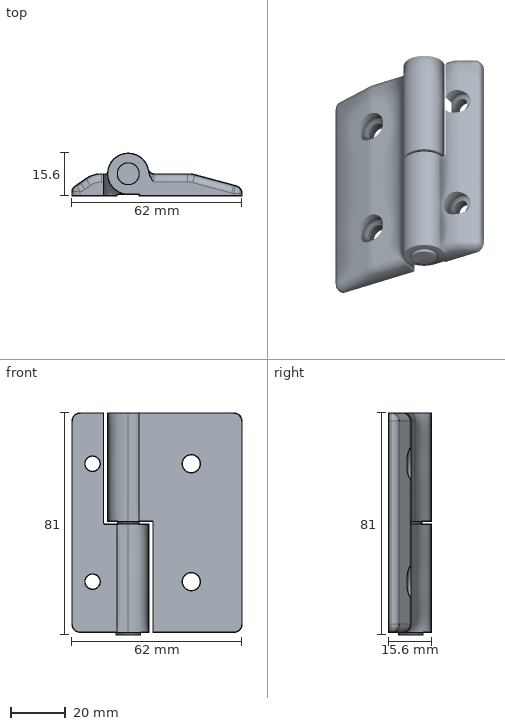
import cadquery as cq
import math


hinge_width = 62.0
leaf_height = 80.0
corner_radius = 3.0
end_edge_radius = 3.0

knuckle_radius = 7.5
knuckle_lift = 0.6
axis_x = 20.5
axis_y = knuckle_radius + knuckle_lift
pin_radius = 4.0
pin_head_radius = 4.5
pin_head_height = 1.0
relief_half_width = pin_radius
knuckle_gap = 1.0
side_clearance = 1.5
upper_knuckle_bottom = (leaf_height + knuckle_gap) / 2
lower_knuckle_top = (leaf_height - knuckle_gap) / 2

plate_thickness = axis_y

left_slope = math.radians(35)
left_flat_start = 10.8
left_crown_radius = 10.0
left_side_radius = 2.0
left_plate_end = axis_x - knuckle_radius - side_clearance
left_knuckle_blend = 0.5
notch_corner_radius = 0.5

right_slope = math.radians(15)
right_flat_end = 42.2
right_crown_radius = 10.0
right_side_radius = 3.0
right_plate_start = axis_x + knuckle_radius + side_clearance
right_knuckle_blend = 2.0
right_web_end = right_plate_start + right_knuckle_blend

screw_hole_spacing = 43.0
screw_hole_heights = [leaf_height / 2 + side * screw_hole_spacing / 2 for side in (-1, 1)]
left_hole_x = 7.5
left_hole_diameter = 5.5
left_counterbore_diameter = 9.5
right_hole_x = 43.5
right_hole_diameter = 6.5
right_counterbore_diameter = 11.0
counterbore_floor = 3.8


def bar(outline, bottom, top):
    """Extrude an XY outline along Z between two heights."""
    return outline.extrude(top - bottom).translate((0, 0, bottom))


def block(x_range, y_range, z_range):
    """Box between two limits along each axis."""
    lows, highs = zip(x_range, y_range, z_range)
    sizes = [high - low for low, high in zip(lows, highs)]
    return cq.Workplane("XY").box(*sizes, centered=False).translate(lows)


def cylinder(radius, bottom, top):
    """Cylinder on the pin axis between two heights."""
    return bar(cq.Workplane("XY").center(axis_x, axis_y).circle(radius), bottom, top)


def round_back(body, side_edge, side_radius):
    """Round the chain of back edges along the outer side and both ends.

    The elliptical edges at the corners get no radius of their own, so theirs runs from one size to the other.
    """
    rounding = cq.occ_impl.shapes.BRepFilletAPI_MakeFillet(body.val().wrapped)
    rounding.Add(side_edge.wrapped)
    chain = rounding.Contour(side_edge.wrapped)
    for number in range(1, rounding.NbEdges(chain) + 1):
        edge = cq.Edge(rounding.Edge(chain, number))
        if edge.isSame(side_edge):
            rounding.SetRadius(side_radius, chain, number)
        elif edge.geomType() != "ELLIPSE":
            rounding.SetRadius(end_edge_radius, chain, number)
    return cq.Workplane(cq.Shape.cast(rounding.Shape()))


def plate(outer_x, inner_x, flat_x, slope, crown_radius, side_radius):
    """Full-height plate whose back slopes down to the outer edge, with rounded outer corners and ends."""
    inward = math.copysign(1, inner_x - outer_x)
    crown_x = flat_x - inward * crown_radius * math.sin(slope)
    crown_y = plate_thickness - crown_radius * (1 - math.cos(slope))
    mid_x = flat_x - inward * crown_radius * math.sin(slope / 2)
    mid_y = plate_thickness - crown_radius * (1 - math.cos(slope / 2))
    edge_y = crown_y - abs(crown_x - outer_x) * math.tan(slope)
    outline = (
        cq.Workplane("XY")
        .moveTo(outer_x, 0)
        .lineTo(outer_x, edge_y)
        .lineTo(crown_x, crown_y)
        .threePointArc((mid_x, mid_y), (flat_x, plate_thickness))
        .lineTo(inner_x, plate_thickness)
        .lineTo(inner_x, 0)
        .close()
    )
    body = bar(outline, 0, leaf_height)
    outer_side = "<X" if inward > 0 else ">X"
    body = body.faces(outer_side).edges("|Y").fillet(corner_radius)
    side_edge = body.faces(outer_side).edges(">Y").val()
    return round_back(body, side_edge, side_radius)


def knuckle(web_end, relief_x, blend_radius, bottom, top):
    """Bored barrel and the web joining it to a plate, blended on the back and relieved at the front."""
    reach = 4 * knuckle_radius
    slab = block((axis_x - reach, axis_x + reach), (-reach, plate_thickness), (0, leaf_height))
    slab = slab.faces(">Y").edges("|X").fillet(end_edge_radius)
    stock = slab.union(cylinder(knuckle_radius, -reach, leaf_height + reach))
    corners = cq.selectors.BoxSelector(
        (axis_x - knuckle_radius - side_clearance, 0, 0),
        (axis_x + knuckle_radius + side_clearance, axis_y + knuckle_radius, leaf_height),
    )
    stock = stock.edges("|Z").edges(corners).fillet(blend_radius)

    web_x = sorted((axis_x, web_end))
    web = block(web_x, (0, axis_y + knuckle_radius), (bottom, top)).intersect(stock)
    relief = block(relief_x, (0, knuckle_lift), (bottom, top))
    bore = cylinder(pin_radius, bottom, top)
    return web.union(cylinder(knuckle_radius, bottom, top)).cut(relief).cut(bore)


def drill_screw_holes(body, hole_x, hole_diameter, counterbore_diameter):
    """Two through holes along Y, counterbored from the back."""
    for hole_z in screw_hole_heights:
        front = cq.Workplane("XZ", origin=(hole_x, 0, hole_z))
        hole = front.circle(hole_diameter / 2).extrude(-plate_thickness)
        counterbore = (
            front.workplane(offset=-counterbore_floor)
            .circle(counterbore_diameter / 2)
            .extrude(-plate_thickness)
        )
        body = body.cut(hole).cut(counterbore)
    return body


def left_leaf():
    """Leaf with the lower knuckle."""
    body = plate(0, left_plate_end, left_flat_start, left_slope, left_crown_radius, left_side_radius)
    relief_x = (axis_x - relief_half_width, axis_x)
    barrel = knuckle(left_plate_end, relief_x, left_knuckle_blend, 0, lower_knuckle_top)
    body = body.union(barrel)
    notch_point = (left_plate_end, plate_thickness / 2, lower_knuckle_top)
    notch_corner = cq.selectors.NearestToPointSelector(notch_point)
    body = body.edges(notch_corner).fillet(notch_corner_radius)
    return drill_screw_holes(body, left_hole_x, left_hole_diameter, left_counterbore_diameter)


def right_leaf():
    """Leaf with the upper knuckle."""
    body = plate(
        hinge_width, right_plate_start, right_flat_end, right_slope, right_crown_radius, right_side_radius
    )
    relief_x = (axis_x, axis_x + relief_half_width)
    barrel = knuckle(right_web_end, relief_x, right_knuckle_blend, upper_knuckle_bottom, leaf_height)
    body = body.union(barrel)
    return drill_screw_holes(body, right_hole_x, right_hole_diameter, right_counterbore_diameter)


def hinge_pin():
    """Pin flush with the upper end, with a flat head below the lower knuckle."""
    shank = cylinder(pin_radius, 0, leaf_height)
    head = cylinder(pin_head_radius, -pin_head_height, 0)
    return shank.union(head)


left = left_leaf()
right = right_leaf()
pin = hinge_pin()
result = cq.Compound.makeCompound([left.val(), right.val(), pin.val()])